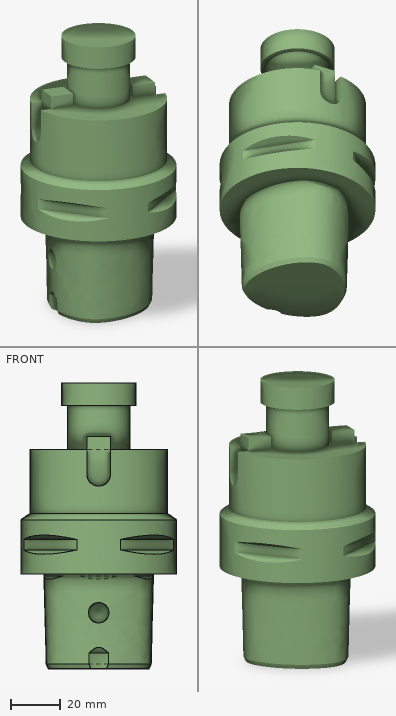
import cadquery as cq
import math

SHANK_CHAMFER_TOP = 1.9
TAPER_TOP = 35.2
FLANGE_BOTTOM = 38.3
FLANGE_RIM_TOP = 60.3
BODY_BOTTOM = 62.8
BODY_TOP = 88.7
KEY_TOP = 93.9
HEAD_BOTTOM = 106.4
TOTAL_HEIGHT = 115.6

FLANGE_RADIUS = 63.0 / 2
BODY_RADIUS = 55.5 / 2
NECK_RADIUS = 25.5 / 2
HEAD_RADIUS = 30.1 / 2

SHANK_RADIUS = 22.1
SHANK_LOBE = 1.3
TAPER_RATIO = 1 / 20
SHANK_CHAMFER = 0.9
RELIEF_RADIUS = 22.4
RELIEF_HEIGHT = 0.7
RELIEF_CONE_HEIGHT = 1.9
RELIEF_OUTER_RADIUS = 23.7
SHANK_POINTS = 120

GROOVE_HEIGHT = 50.2
GROOVE_CHORD = 30.3
GROOVE_FLOOR = 4.2
GROOVE_MOUTH = 7.7
GROOVE_ANGLES = (45, 135, 225, 315)

KEY_WIDTH = 9.5
KEY_INNER = 13.2
KEY_OUTER = 22.8
SLOT_BOTTOM = 73.9

SIDE_HOLE_RADIUS = 8.2 / 2
SIDE_HOLE_HEIGHT = 22.7
SIDE_HOLE_DEPTH = 5.8
SIDE_HOLE_TIP_ANGLE = 118
NOTCH_RADIUS = 5.0
NOTCH_AXIS_DISTANCE = 22.8
NOTCH_TIP_ANGLE = 90
NOTCH_HEIGHT = 6.4


def make_turned_body():
    """Flange, body, neck and head as one revolved profile."""
    profile = [
        (0, FLANGE_BOTTOM),
        (FLANGE_RADIUS, FLANGE_BOTTOM),
        (FLANGE_RADIUS, FLANGE_RIM_TOP),
        (BODY_RADIUS, BODY_BOTTOM),
        (BODY_RADIUS, BODY_TOP),
        (NECK_RADIUS, BODY_TOP),
        (NECK_RADIUS, HEAD_BOTTOM),
        (HEAD_RADIUS, HEAD_BOTTOM),
        (HEAD_RADIUS, TOTAL_HEIGHT),
        (0, TOTAL_HEIGHT),
    ]
    return cq.Workplane("XZ").polyline(profile).close().revolve(360, (0, 0), (0, 1))


def lobed_outline(radius, height):
    """Closed constant-width curve with three lobes."""
    points = []
    for index in range(SHANK_POINTS):
        angle = 2 * math.pi * index / SHANK_POINTS
        along = radius * math.cos(angle) + SHANK_LOBE * (2 * math.cos(2 * angle) - math.cos(4 * angle))
        across = radius * math.sin(angle) - SHANK_LOBE * (2 * math.sin(2 * angle) + math.sin(4 * angle))
        points.append(cq.Vector(-across, along, height))
    return cq.Wire.assembleEdges([cq.Edge.makeSpline(points, periodic=True)])


def make_shank():
    """Chamfered tip, taper and straight collar, relieved under the flange."""
    taper_end_radius = SHANK_RADIUS - (TAPER_TOP - SHANK_CHAMFER_TOP) * TAPER_RATIO / 2
    sections = [
        (taper_end_radius - SHANK_CHAMFER, 0),
        (taper_end_radius, SHANK_CHAMFER_TOP),
        (SHANK_RADIUS, TAPER_TOP),
        (SHANK_RADIUS, FLANGE_BOTTOM),
    ]
    outlines = [lobed_outline(radius, height) for radius, height in sections]
    shank = cq.Workplane(cq.Solid.makeLoft(outlines, True))
    cone_top = FLANGE_BOTTOM - RELIEF_HEIGHT
    relief_profile = [
        (RELIEF_RADIUS, FLANGE_BOTTOM),
        (RELIEF_RADIUS, cone_top),
        (RELIEF_OUTER_RADIUS, cone_top - RELIEF_CONE_HEIGHT),
        (FLANGE_RADIUS, cone_top - RELIEF_CONE_HEIGHT),
        (FLANGE_RADIUS, FLANGE_BOTTOM),
    ]
    relief = cq.Workplane("XZ").polyline(relief_profile).close().revolve(360, (0, 0), (0, 1))
    return shank.cut(relief)


def make_groove(angle):
    """Trapezoidal groove straight across the rim at the given angle."""
    floor_distance = math.sqrt(FLANGE_RADIUS**2 - (GROOVE_CHORD / 2) ** 2)
    profile = [
        (floor_distance, GROOVE_HEIGHT - GROOVE_FLOOR / 2),
        (FLANGE_RADIUS, GROOVE_HEIGHT - GROOVE_MOUTH / 2),
        (FLANGE_RADIUS, GROOVE_HEIGHT + GROOVE_MOUTH / 2),
        (floor_distance, GROOVE_HEIGHT + GROOVE_FLOOR / 2),
    ]
    groove = cq.Workplane("XZ").polyline(profile).close().extrude(FLANGE_RADIUS, both=True)
    return groove.rotate((0, 0, 0), (0, 0, 1), angle)


def make_key():
    """Drive key on the -Y side, standing on the body."""
    return cq.Workplane("XY").box(
        KEY_WIDTH, KEY_OUTER - KEY_INNER, KEY_TOP - BODY_TOP, centered=(True, False, False)
    ).translate((0, -KEY_OUTER, BODY_TOP))


def make_slot():
    """Round-bottomed slot in front of the -Y key."""
    half_width = KEY_WIDTH / 2
    arc_height = SLOT_BOTTOM + half_width
    return (
        cq.Workplane("XZ", origin=(0, -KEY_OUTER, 0))
        .moveTo(-half_width, BODY_TOP)
        .lineTo(-half_width, arc_height)
        .threePointArc((0, SLOT_BOTTOM), (half_width, arc_height))
        .lineTo(half_width, BODY_TOP)
        .close()
        .extrude(BODY_RADIUS - KEY_OUTER)
    )


def make_drill(radius, tip_angle, start, direction, depth):
    """Cylinder with a conical drill tip."""
    tip_length = radius / math.tan(math.radians(tip_angle / 2))
    start = cq.Vector(*start)
    direction = cq.Vector(*direction)
    cylinder = cq.Solid.makeCylinder(radius, depth, start, direction)
    tip = cq.Solid.makeCone(radius, 0, tip_length, start + direction * depth, direction)
    return cylinder.fuse(tip)


result = make_turned_body().union(make_shank())

for groove_angle in GROOVE_ANGLES:
    result = result.cut(make_groove(groove_angle))

for key_angle in (0, 180):
    result = result.cut(make_slot().rotate((0, 0, 0), (0, 0, 1), key_angle))
    result = result.union(make_key().rotate((0, 0, 0), (0, 0, 1), key_angle))

flat_distance = SHANK_RADIUS - SHANK_LOBE
side_hole = make_drill(
    SIDE_HOLE_RADIUS, SIDE_HOLE_TIP_ANGLE, (0, -flat_distance, SIDE_HOLE_HEIGHT), (0, 1, 0), SIDE_HOLE_DEPTH
)
notch = make_drill(NOTCH_RADIUS, NOTCH_TIP_ANGLE, (0, -NOTCH_AXIS_DISTANCE, 0), (0, 0, 1), NOTCH_HEIGHT)
result = result.cut(side_hole).cut(notch)